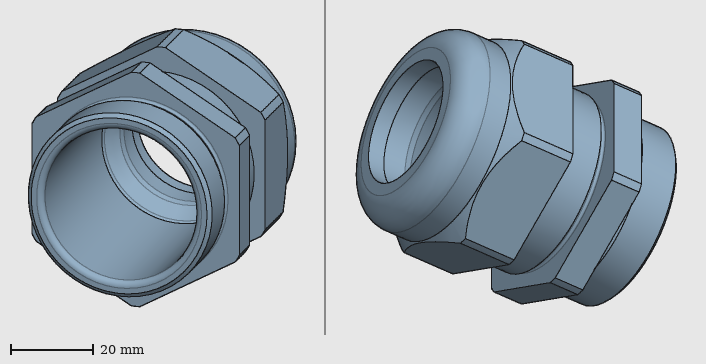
import cadquery as cq
import math

total_length = 64.2
front_y = -total_length / 2

quarter_round_inset = 1 - math.sqrt(0.5)

hex_sides = 6
hex_half_angle = 180 / hex_sides
hex_across_flats = 53.0
hex_corner_diameter = 60.0
hex_corner_radius = hex_corner_diameter / 2
hex_across_corners = hex_across_flats / math.cos(math.radians(hex_half_angle))

thread_radius = 23.5
thread_end = 10.65
thread_chamfer_length = 0.9
thread_chamfer_depth = 1.0
front_groove_radius = 22.9
front_groove_start = 11.55
flange_start = 13.0
flange_thickness = 8.1
flange_end = flange_start + flange_thickness
rear_groove_radius = 22.1
rear_groove_end = 22.5
groove_fillet = 0.7
shank_radius = 23.75
shank_start = 22.9
body_end = 46.2
mouth_round = 1.6
bore_radius = 19.45

nut_start = 33.1
nut_hex_end = 51.15
dome_radius = 26.25
dome_fillet = 6.95

seal_end = 59.7
throat_radius = 16.1
lead_in_half_angle = 22.0
funnel_mouth_radius = 19.05
funnel_half_angle = 29.0
funnel_end_radius = 16.55
throat_half_angle = 14.0


def axial_sketch():
    """Half-section plane: local x is the radius, local y the distance from the front end."""
    return cq.Workplane("XY", origin=(0, front_y, 0))


def revolve(section):
    """Turn a closed half-section around the axis."""
    return section.close().revolve(360, (0, 0), (0, 1))


def disc(radius, start, end):
    """Solid cylinder between two stations."""
    return revolve(axial_sketch().moveTo(0, start).lineTo(radius, start).lineTo(radius, end).lineTo(0, end))


def hex_prism(start, end):
    """Hexagon with flats facing +X and -X and its corners turned down to a cylinder."""
    prism = (
        cq.Workplane("XZ", origin=(0, front_y + start, 0))
        .polygon(hex_sides, hex_across_corners)
        .extrude(start - end)
        .rotate((0, 0, 0), (0, 1, 0), hex_half_angle)
    )
    return prism.intersect(disc(hex_corner_radius, start, end))


def fillet_middle(foot_radius, foot, wall):
    """Middle point of the quarter-round between a groove floor and a flange face."""
    inset = groove_fillet * quarter_round_inset
    return foot_radius + inset, wall + math.copysign(inset, foot - wall)


def make_body():
    front_foot = flange_start - groove_fillet
    rear_foot = flange_end + groove_fillet
    mouth_inset = mouth_round * quarter_round_inset
    turned = revolve(
        axial_sketch()
        .moveTo(bore_radius + mouth_round, 0)
        .lineTo(thread_radius - thread_chamfer_depth, 0)
        .lineTo(thread_radius, thread_chamfer_length)
        .lineTo(thread_radius, thread_end)
        .lineTo(front_groove_radius, front_groove_start)
        .lineTo(front_groove_radius, front_foot)
        .threePointArc(
            fillet_middle(front_groove_radius, front_foot, flange_start),
            (front_groove_radius + groove_fillet, flange_start),
        )
        .lineTo(rear_groove_radius + groove_fillet, flange_end)
        .threePointArc(
            fillet_middle(rear_groove_radius, rear_foot, flange_end),
            (rear_groove_radius, rear_foot),
        )
        .lineTo(rear_groove_radius, rear_groove_end)
        .lineTo(shank_radius, shank_start)
        .lineTo(shank_radius, body_end)
        .lineTo(bore_radius, body_end)
        .lineTo(bore_radius, mouth_round)
        .threePointArc(
            (bore_radius + mouth_inset, mouth_inset),
            (bore_radius + mouth_round, 0),
        )
    )
    flange = hex_prism(flange_start, flange_end).cut(disc(bore_radius, flange_start, flange_end))
    return turned.union(flange)


def make_nut():
    cone_start = nut_hex_end - (hex_corner_radius - dome_radius)
    turned_hex = revolve(
        axial_sketch()
        .moveTo(0, nut_start)
        .lineTo(hex_corner_radius, nut_start)
        .lineTo(hex_corner_radius, cone_start)
        .lineTo(dome_radius, nut_hex_end)
        .lineTo(0, nut_hex_end)
    )
    dome = disc(dome_radius, nut_start, total_length).faces(">Y").edges().fillet(dome_fillet)
    nut = hex_prism(nut_start, nut_hex_end).intersect(turned_hex).union(dome)
    socket = disc(shank_radius, nut_start, seal_end)
    opening = disc(throat_radius, seal_end, total_length)
    return nut.cut(socket).cut(opening)


def cone_length(large_radius, small_radius, half_angle):
    """Axial length of a cone between two radii."""
    return (large_radius - small_radius) / math.tan(math.radians(half_angle))


def make_seal():
    funnel_start = body_end + cone_length(bore_radius, funnel_mouth_radius, lead_in_half_angle)
    funnel_end = funnel_start + cone_length(funnel_mouth_radius, funnel_end_radius, funnel_half_angle)
    throat_start = funnel_end + cone_length(funnel_end_radius, throat_radius, throat_half_angle)
    return revolve(
        axial_sketch()
        .moveTo(bore_radius, body_end)
        .lineTo(shank_radius, body_end)
        .lineTo(shank_radius, seal_end)
        .lineTo(throat_radius, seal_end)
        .lineTo(throat_radius, throat_start)
        .lineTo(funnel_end_radius, funnel_end)
        .lineTo(funnel_mouth_radius, funnel_start)
    )


body = make_body()
nut = make_nut()
seal = make_seal()

result = cq.Compound.makeCompound([body.val(), nut.val(), seal.val()])